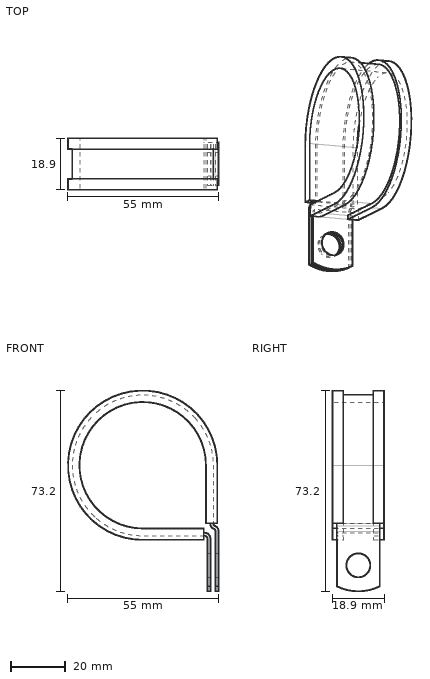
import cadquery as cq
import math

outer_radius = 27.25
cushion_thickness = 4.25
cushion_width = 18.9
vertical_end_z = -21.2
horizontal_end_x = 22.3
groove_depth = 1.55
groove_width = 10.85

strap_thickness = 1.2
strap_width = 15.7
strap_outer = outer_radius - groove_depth
strap_inner = strap_outer - strap_thickness

inner_tab_face_x = 24.75
outer_tab_face_x = 27.7
tab_bottom_z = outer_radius - 73.2
tab_end_radius = 17.6
hole_diameter = 8.65
hole_z = -36.5
inner_tab_bend_radius = 1.2
offset_bend_drop = 2.9

bend_start_overlap = 0.7


def extrude_across(profile, width):
    """Extrude an XZ profile symmetrically about Y = 0."""
    return profile.extrude(width / 2, both=True)


def loop_band(outer, inner, width):
    """Band around the loop between two radii, including both straight ends."""
    diagonal = math.sqrt(0.5)
    profile = (
        cq.Workplane("XZ")
        .moveTo(outer, vertical_end_z)
        .lineTo(outer, 0)
        .threePointArc((-outer * diagonal, outer * diagonal), (0, -outer))
        .lineTo(horizontal_end_x, -outer)
        .lineTo(horizontal_end_x, -inner)
        .lineTo(0, -inner)
        .threePointArc((-inner * diagonal, inner * diagonal), (inner, 0))
        .lineTo(inner, vertical_end_z)
        .close()
    )
    return extrude_across(profile, width)


def make_cushion():
    cushion = loop_band(outer_radius, outer_radius - cushion_thickness, cushion_width)
    return cushion.cut(loop_band(outer_radius, strap_outer, groove_width))


def make_inner_tab():
    """Strap turned down 90 degrees from the horizontal run."""
    inside = inner_tab_bend_radius
    outside = inside + strap_thickness
    back_x = inner_tab_face_x - strap_thickness
    start_x = horizontal_end_x - bend_start_overlap
    profile = (
        cq.Workplane("XZ")
        .moveTo(start_x, -strap_inner)
        .lineTo(inner_tab_face_x - outside, -strap_inner)
        .radiusArc((inner_tab_face_x, -strap_inner - outside), outside)
        .lineTo(inner_tab_face_x, tab_bottom_z)
        .lineTo(back_x, tab_bottom_z)
        .lineTo(back_x, -strap_outer - inside)
        .radiusArc((back_x - inside, -strap_outer), -inside)
        .lineTo(start_x, -strap_outer)
        .close()
    )
    return extrude_across(profile, strap_width)


def make_outer_tab():
    """Strap stepped outward from the vertical run by two equal, opposite arcs."""
    step = outer_tab_face_x - strap_outer
    middle_radius = (offset_bend_drop**2 + step**2) / (4 * step)
    bend_angle = 2 * math.atan(step / offset_bend_drop)
    small = middle_radius - strap_thickness / 2
    large = middle_radius + strap_thickness / 2
    bend_end_z = vertical_end_z - offset_bend_drop
    upper_center_x = strap_outer + small
    lower_center_x = outer_tab_face_x - large
    across = math.cos(bend_angle)
    along = math.sin(bend_angle)
    start_z = vertical_end_z + bend_start_overlap
    back_x = outer_tab_face_x - strap_thickness
    profile = (
        cq.Workplane("XZ")
        .moveTo(strap_outer, start_z)
        .lineTo(strap_outer, vertical_end_z)
        .radiusArc((upper_center_x - small * across, vertical_end_z - small * along), -small)
        .radiusArc((outer_tab_face_x, bend_end_z), large)
        .lineTo(outer_tab_face_x, tab_bottom_z)
        .lineTo(back_x, tab_bottom_z)
        .lineTo(back_x, bend_end_z)
        .radiusArc((lower_center_x + small * across, bend_end_z + small * along), -small)
        .radiusArc((strap_inner, vertical_end_z), large)
        .lineTo(strap_inner, start_z)
        .close()
    )
    return extrude_across(profile, strap_width)


def make_tab_outline():
    """Block along X whose rounded lower end and hole shape both tabs."""
    half_width = strap_width / 2
    corner_rise = tab_end_radius - math.sqrt(tab_end_radius**2 - half_width**2)
    corner_z = tab_bottom_z + corner_rise
    outline = (
        cq.Workplane("YZ")
        .moveTo(-half_width, 0)
        .lineTo(-half_width, corner_z)
        .threePointArc((0, tab_bottom_z), (half_width, corner_z))
        .lineTo(half_width, 0)
        .close()
        .extrude(outer_tab_face_x)
    )
    hole = (
        cq.Workplane("YZ")
        .center(0, hole_z)
        .circle(hole_diameter / 2)
        .extrude(outer_tab_face_x)
    )
    return outline.cut(hole)


tabs = make_inner_tab().union(make_outer_tab()).intersect(make_tab_outline())
result = make_cushion().union(tabs)